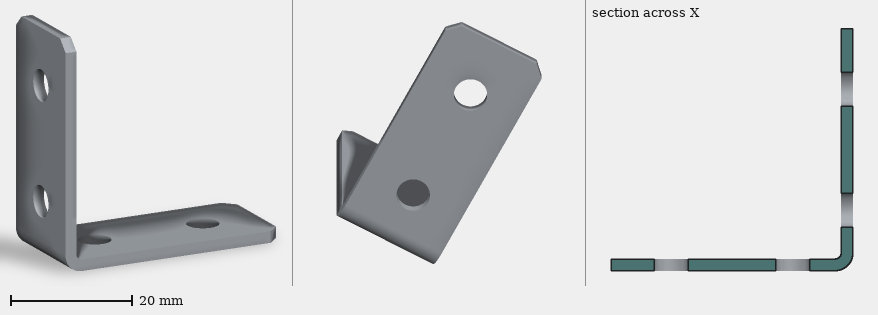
import cadquery as cq

leg_length = 40.0
width = 18.0
thickness = 2.0
inner_bend_radius = 1.0
outer_bend_radius = inner_bend_radius + thickness
corner_chamfer = 2.0
hole_diameter = 5.5
hole_distances = (10.0, 30.0)


def bent_strip():
    """L-shaped strip, centred on X, with its outer corner along the X axis."""
    profile = (
        cq.Workplane("YZ")
        .moveTo(0, 0)
        .lineTo(leg_length, 0)
        .lineTo(leg_length, thickness)
        .lineTo(thickness, thickness)
        .lineTo(thickness, leg_length)
        .lineTo(0, leg_length)
        .close()
    )
    strip = profile.extrude(width / 2, both=True)
    inner_corner = cq.selectors.NearestToPointSelector((0, thickness, thickness))
    outer_corner = cq.selectors.NearestToPointSelector((0, 0, 0))
    strip = strip.edges(inner_corner).fillet(inner_bend_radius)
    return strip.edges(outer_corner).fillet(outer_bend_radius)


def chamfer_leg_ends(strip):
    """Cut the two corners at the free end of each leg."""
    strip = strip.faces(">Y").edges("|Z").chamfer(corner_chamfer)
    return strip.faces(">Z").edges("|Y").chamfer(corner_chamfer)


def leg_holes():
    """Plugs for the holes through both legs, on the centreline."""
    hole_radius = hole_diameter / 2
    centres = [(0, distance) for distance in hole_distances]
    base_plugs = cq.Workplane("XY").pushPoints(centres).circle(hole_radius).extrude(thickness)
    upright_plugs = cq.Workplane("XZ").pushPoints(centres).circle(hole_radius).extrude(-thickness)
    return base_plugs.add(upright_plugs).combine()


result = chamfer_leg_ends(bent_strip()).cut(leg_holes())